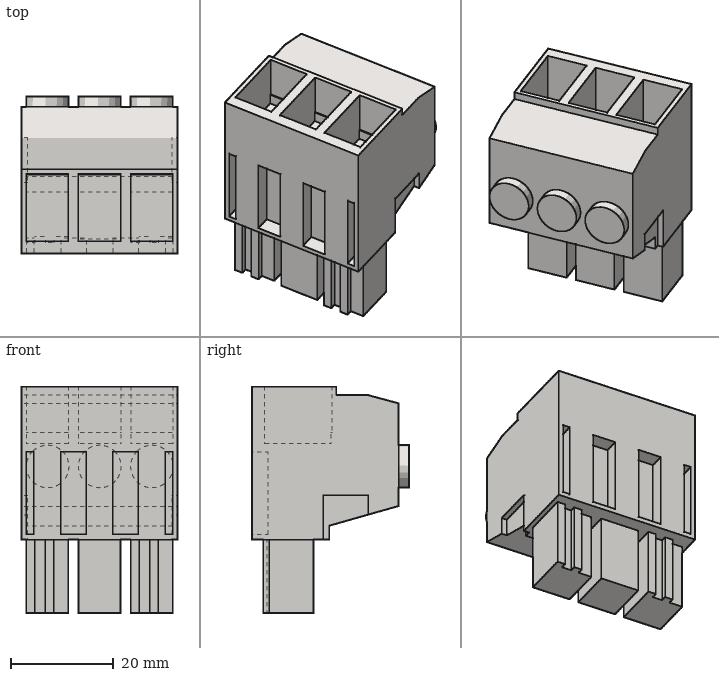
import cadquery as cq


pole_count = 3
housing_width = 30.47
housing_depth = 28.58
total_height = 44.1
pitch = housing_width / pole_count
pole_gap = 1.95
pole_width = pitch - pole_gap
side_wall = pole_gap / 2

leg_length = 14.35
rear_foot_depth = 15.1
rear_foot_height = 2.7
rear_face_bottom = leg_length + 6.53
rear_face_top = leg_length + 26.55
shoulder_height = leg_length + 28.2
shoulder_rear = 22.55
shoulder_front = 16.45

pocket_front = 2.4
pocket_length = 13.2
pocket_depth = 11.02
ledge_depth = 8.8
ledge_width = 0.18

slot_width = 4.95
slot_bottom = leg_length + 1.0
slot_height = 16.05
slot_depth = 3.1

recess_front = 13.85
recess_rear = 22.65
recess_height = 8.6
recess_depth = 1.15

leg_front = 3.4
leg_rear = 12.05
key_width = 1.68
key_groove_width = 2.05
key_height = 1.2
inner_leg_protrusion = 0.55

screw_diameter = 8.3
screw_protrusion = 2.05
screw_height = leg_length + 14.3

pole_centers = [(i - (pole_count - 1) / 2) * pitch for i in range(pole_count)]
pole_borders = [(i - pole_count / 2) * pitch for i in range(pole_count + 1)]


def block(x_min, x_max, y_min, y_max, z_min, z_max):
    """Box between the given limits."""
    box = cq.Workplane("XY").box(x_max - x_min, y_max - y_min, z_max - z_min, centered=False)
    return box.translate((x_min, y_min, z_min))


def make_shell():
    """Side profile extruded over the full width."""
    profile = [
        (0, leg_length),
        (rear_foot_depth, leg_length),
        (rear_foot_depth, leg_length + rear_foot_height),
        (housing_depth, rear_face_bottom),
        (housing_depth, rear_face_top),
        (shoulder_rear, shoulder_height),
        (shoulder_front, shoulder_height),
        (shoulder_front, total_height),
        (0, total_height),
    ]
    return cq.Workplane("YZ").polyline(profile).close().extrude(housing_width / 2, both=True)


def make_wire_pocket(x):
    """Open-topped pocket with a narrow ledge across its rear wall, near the floor."""
    floor = total_height - pocket_depth
    ledge_top = total_height - ledge_depth
    left = x - pole_width / 2
    right = x + pole_width / 2
    rear = pocket_front + pocket_length
    mouth = block(left, right, pocket_front, rear, ledge_top, total_height)
    well = block(left, right, pocket_front, rear - ledge_width, floor, ledge_top)
    return mouth.union(well)


def make_front_slot(x):
    """Slot centred between poles, cut short by the side wall at the two ends."""
    inner_limit = housing_width / 2 - side_wall
    return block(
        max(x - slot_width / 2, -inner_limit), min(x + slot_width / 2, inner_limit),
        0, slot_depth,
        slot_bottom, slot_bottom + slot_height,
    )


def make_side_recess():
    """Shallow recess in the -X side face, open downwards."""
    return block(
        -housing_width / 2, -housing_width / 2 + recess_depth,
        recess_front, recess_rear,
        leg_length, leg_length + recess_height,
    )


def make_leg(x, front):
    return block(x - pole_width / 2, x + pole_width / 2, front, leg_rear, 0, leg_length)


def make_keys(x):
    """Two full-length keys on the front of the leg at x, starting at its left edge."""
    first_left = x - pole_width / 2
    second_left = first_left + key_width + key_groove_width
    keys = cq.Workplane("XY")
    for left in (first_left, second_left):
        keys = keys.add(block(left, left + key_width, leg_front - key_height, leg_front, 0, leg_length))
    return keys.combine()


def make_housing():
    housing = make_shell()
    for x in pole_centers:
        housing = housing.cut(make_wire_pocket(x))
    for x in pole_borders:
        housing = housing.cut(make_front_slot(x))
    recess = make_side_recess()
    housing = housing.cut(recess).cut(recess.mirror("YZ"))
    for x in (pole_centers[0], pole_centers[-1]):
        housing = housing.union(make_leg(x, leg_front)).union(make_keys(x))
    for x in pole_centers[1:-1]:
        housing = housing.union(make_leg(x, leg_front - inner_leg_protrusion))
    return housing


def make_screw(x):
    """Round screw head seated on the rear face."""
    head = cq.Workplane("XZ").circle(screw_diameter / 2).extrude(-screw_protrusion)
    return head.translate((x, housing_depth, screw_height))


housing = make_housing()
screws = [make_screw(x) for x in pole_centers]

result = cq.Compound.makeCompound([housing.val(), *[screw.val() for screw in screws]])